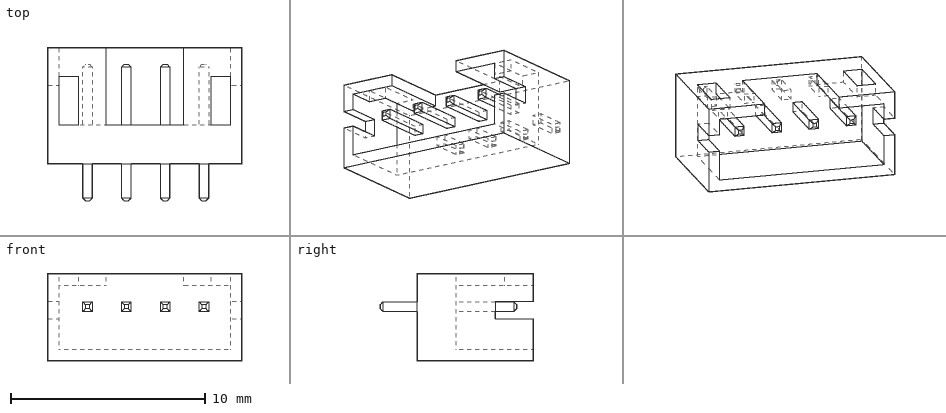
import cadquery as cq

body_width = 10.0
body_depth = 6.0
body_height = 4.5

side_wall = 0.58
top_wall = 0.6
floor_wall = 0.6
cavity_depth = 4.0

relief_width = 4.0
relief_depth = cavity_depth
window_width = 1.0
window_near_edge = 1.5
window_far_edge = cavity_depth
notch_depth = 1.96
notch_height = 0.89
notch_bottom = 2.17

pin_count = 4
pin_pitch = 2.0
first_pin_x = 2.05
pin_size = 0.5
pin_tip_size = 0.2
pin_taper_length = 0.15
pin_center_z = 2.8
pin_front_reach = 1.91
pin_back_setback = 0.86


def block(x_start, x_end, y_start, y_end, z_start, z_end):
    """Box between the given limits on each axis."""
    size = (x_end - x_start, y_end - y_start, z_end - z_start)
    return cq.Workplane("XY").box(*size, centered=False).translate((x_start, y_start, z_start))


def cavity():
    """Mating space that opens through the back face."""
    return block(
        side_wall, body_width - side_wall,
        body_depth - cavity_depth, body_depth,
        floor_wall, body_height - top_wall,
    )


def top_relief():
    """Wide central cut-out in the top wall, open at the back."""
    left = (body_width - relief_width) / 2
    return block(
        left, left + relief_width,
        body_depth - relief_depth, body_depth,
        body_height - top_wall, body_height,
    )


def top_window(left):
    """Rectangular window through the top wall into the cavity."""
    return block(
        left, left + window_width,
        body_depth - window_far_edge, body_depth - window_near_edge,
        body_height - top_wall, body_height,
    )


def side_notches():
    """Slot through both side walls, open at the back."""
    return block(
        0, body_width,
        body_depth - notch_depth, body_depth,
        notch_bottom, notch_bottom + notch_height,
    )


def housing():
    """Box with its cavity and wall openings."""
    shell = block(0, body_width, 0, body_depth, 0, body_height)
    shell = shell.cut(cavity()).cut(top_relief()).cut(side_notches())
    for left in (side_wall, body_width - side_wall - window_width):
        shell = shell.cut(top_window(left))
    return shell


def pin_tip(x, shank_end_y, direction):
    """Tapered end that points along +Y (direction 1) or -Y (direction -1)."""
    base_plane = cq.Plane(origin=(x, shank_end_y, pin_center_z), xDir=(1, 0, 0), normal=(0, direction, 0))
    return (
        cq.Workplane(base_plane)
        .rect(pin_size, pin_size)
        .workplane(offset=pin_taper_length)
        .rect(pin_tip_size, pin_tip_size)
        .loft(ruled=True)
    )


def pin(x):
    """Straight square pin, tapered at both ends."""
    half = pin_size / 2
    shank_front = -pin_front_reach + pin_taper_length
    shank_back = body_depth - pin_back_setback - pin_taper_length
    shank = block(
        x - half, x + half,
        shank_front, shank_back,
        pin_center_z - half, pin_center_z + half,
    )
    return shank.union(pin_tip(x, shank_front, -1)).union(pin_tip(x, shank_back, 1))


result = housing()
for pin_index in range(pin_count):
    result = result.union(pin(first_pin_x + pin_index * pin_pitch))